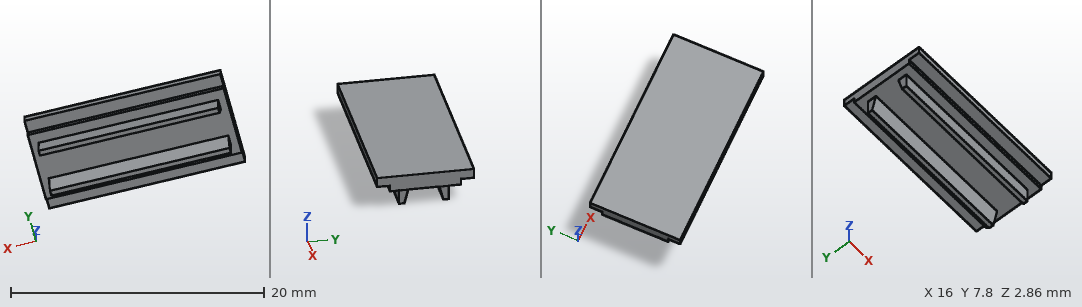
import cadquery as cq

length = 16.0
width = 7.8
height = 2.86

plate_thickness = 0.8
step_width = 5.73
step_thickness = 0.5

rib_length = 14.65
rib_span = 4.0
rib_root = 0.83
rib_tip = 0.43

step_top = height - plate_thickness
rib_top = step_top - step_thickness


def centered_slab(size_x, size_y, bottom, top):
    """Rectangular slab centred on the Z axis between two heights."""
    slab = cq.Workplane("XY").workplane(offset=bottom)
    return slab.rect(size_x, size_y).extrude(top - bottom)


def tapered_rib(side):
    """Rib along X with a vertical outer face and a sloped inner face; side is -1 or 1 in Y."""
    outer = rib_span / 2
    profile = [
        (side * outer, 0),
        (side * outer, rib_top),
        (side * (outer - rib_root), rib_top),
        (side * (outer - rib_tip), 0),
    ]
    return cq.Workplane("YZ").polyline(profile).close().extrude(rib_length / 2, both=True)


result = centered_slab(length, width, step_top, height)
result = result.union(centered_slab(length, step_width, rib_top, step_top))
for side in (-1, 1):
    result = result.union(tapered_rib(side))